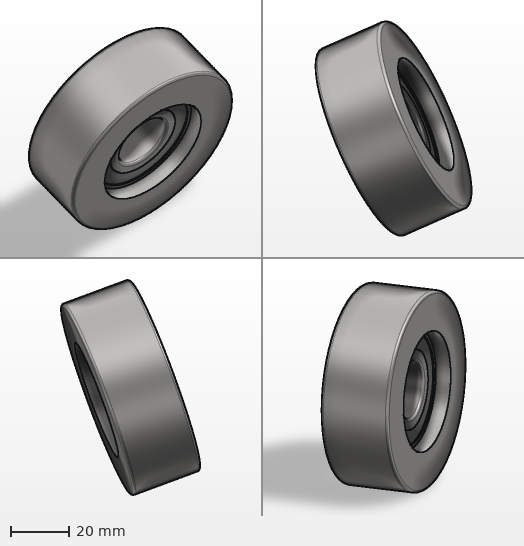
import cadquery as cq

wheel_diameter = 70.0
wheel_width = 25.0
edge_radius = 1.0

bearing_diameter = 42.0
bearing_recess = 5.5
bearing_width = wheel_width - 2 * bearing_recess
outer_ring_bore = 39.0
inner_ring_diameter = 28.1
bore_diameter = 20.0

seal_recess = 0.5
seal_width = bearing_width - 2 * seal_recess


def ring(outer_diameter, inner_diameter, width):
    """Plain ring around the X axis, centred on the origin."""
    return (
        cq.Workplane("YZ", origin=(-width / 2, 0, 0))
        .circle(outer_diameter / 2)
        .circle(inner_diameter / 2)
        .extrude(width)
    )


def make_wheel():
    """Wheel with rounded outer edges and a through bore for the bearing."""
    rim_edges = cq.selectors.RadiusNthSelector(-1)
    blank = ring(wheel_diameter, bearing_diameter, wheel_width)
    return blank.edges("%CIRCLE").edges(rim_edges).fillet(edge_radius)


def make_inner_ring():
    """Inner bearing ring with rounded bore edges."""
    bore_edges = cq.selectors.RadiusNthSelector(0)
    blank = ring(inner_ring_diameter, bore_diameter, bearing_width)
    return blank.edges("%CIRCLE").edges(bore_edges).fillet(edge_radius)


wheel = make_wheel()
outer_ring = ring(bearing_diameter, outer_ring_bore, bearing_width)
seal = ring(outer_ring_bore, inner_ring_diameter, seal_width)
inner_ring = make_inner_ring()

result = cq.Compound.makeCompound([
    wheel.val(),
    outer_ring.val(),
    seal.val(),
    inner_ring.val(),
])